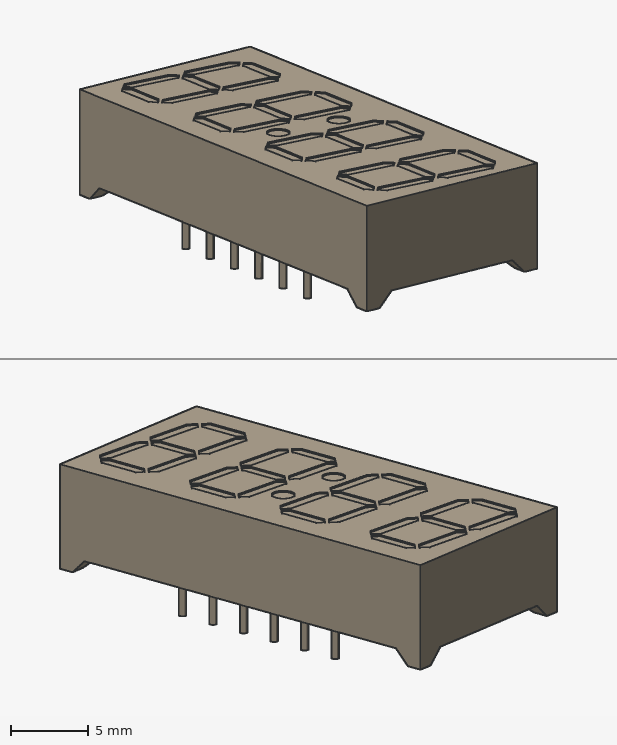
import cadquery as cq
import math


body_length = 30.0
body_width = 14.0
body_height = 7.2
foot_width = 1.05
standoff = 1.0

total_height = 8.93
pin_diameter = 0.5
pins_per_row = 6
pin_pitch = 2.54
row_spacing = 10.16
pin_bottom = body_height - total_height

digit_count = 4
digit_pitch = 7.5
digit_height = 10.16
segment_width = 0.85
segment_gap = 0.36
column_spacing = 4.03
row_step = (digit_height - segment_width) / 2
slant = math.tan(math.radians(5.0))
recess_depth = 0.1

dot_diameter = 1.5
dot_offset = row_step / 2


def make_channel(run, span, plane):
    """Trapezoidal channel between feet across a span, running along the plane's normal."""
    half_mouth = span / 2 - foot_width
    half_roof = half_mouth - standoff
    outline = [(-half_mouth, 0), (half_mouth, 0), (half_roof, standoff), (-half_roof, standoff)]
    return cq.Workplane(plane).polyline(outline).close().extrude(run / 2, both=True)


def make_housing():
    """Block standing on four corner feet."""
    block = cq.Workplane("XY").box(body_length, body_width, body_height, centered=(True, True, False))
    block = block.cut(make_channel(body_width, body_length, "XZ"))
    return block.cut(make_channel(body_length, body_width, "YZ"))


def make_pins():
    """Two rows of round pins reaching down from the housing floor."""
    pins = cq.Workplane("XY").workplane(offset=pin_bottom)
    pins = pins.rarray(pin_pitch, row_spacing, pins_per_row, 2).circle(pin_diameter / 2)
    return pins.extrude(standoff - pin_bottom)


def recess_plane():
    """Floor plane of the shallow recesses in the top face."""
    return cq.Workplane("XY").workplane(offset=body_height - recess_depth)


def horizontal_segment(x, y):
    """Recess for a level segment centred at (x, y), with 45 degree pointed ends."""
    half_width = segment_width / 2
    tip = (column_spacing - segment_gap) / 2
    shoulder = tip - half_width
    outline = [
        (x - tip, y),
        (x - shoulder, y + half_width),
        (x + shoulder, y + half_width),
        (x + tip, y),
        (x + shoulder, y - half_width),
        (x - shoulder, y - half_width),
    ]
    return recess_plane().polyline(outline).close().extrude(recess_depth)


def slanted_segment(x, y):
    """Recess for a slanted segment centred at (x, y), its end edges at 45 degrees."""
    half_width = segment_width / 2
    tip = (row_step - segment_gap) / 2
    tip_shift = slant * tip
    long_drop = half_width / (1 - slant)
    short_drop = half_width / (1 + slant)
    outline = [
        (x + tip_shift, y + tip),
        (x + tip_shift + short_drop, y + tip - short_drop),
        (x - tip_shift + long_drop, y - tip + long_drop),
        (x - tip_shift, y - tip),
        (x - tip_shift - short_drop, y - tip + short_drop),
        (x + tip_shift - long_drop, y + tip - long_drop),
    ]
    return recess_plane().polyline(outline).close().extrude(recess_depth)


def cut_digit(body, centre_x):
    """Cut the seven segment recesses of one digit."""
    for level in (-1, 0, 1):
        y = level * row_step
        body = body.cut(horizontal_segment(centre_x + slant * y, y))
    for level in (-0.5, 0.5):
        y = level * row_step
        for side in (-0.5, 0.5):
            body = body.cut(slanted_segment(centre_x + side * column_spacing + slant * y, y))
    return body


def cut_colon(body):
    """Cut the two round colon recesses, lined up with the digit slant."""
    centres = [(slant * dot_offset, dot_offset), (-slant * dot_offset, -dot_offset)]
    return body.cut(recess_plane().pushPoints(centres).circle(dot_diameter / 2).extrude(recess_depth))


display = make_housing().union(make_pins())
for index in range(digit_count):
    display = cut_digit(display, (index - (digit_count - 1) / 2) * digit_pitch)
result = cut_colon(display)